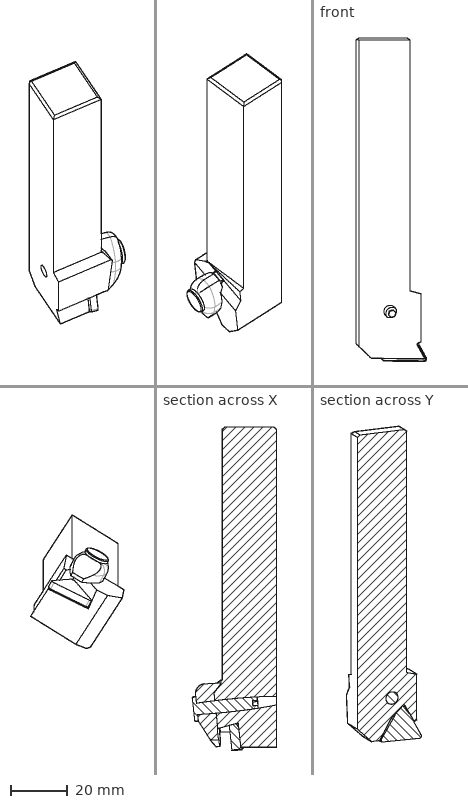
import cadquery as cq
import math

shank_size = 19.1
overall_length = 113.8
edge_chamfer = 1.0
end_chamfer_length = 0.8
head_width = 23.0
head_stock = 27.3
shoulder_z = 24.8
shoulder_slope = math.tan(math.radians(15))
foot_z = 1.0
foot_left_x = 5.5
bevel_top_z = 6.3
notch_outer_z = 6.9
notch_x = 21.5
notch_z = 6.1
tip_x = 24.4

fall_along_x = math.tan(math.radians(5.5))
rise_along_z = math.tan(math.radians(6))
tilted_normal = cq.Vector(fall_along_x, 1, -rise_along_z)

land_y = 21.3
seat_y = 13.9
ledge_depth = 2.8

clamp_turn = 16.0
ramp_top = -5.0
ramp_foot = -7.9
clamp_height = 6.5
clamp_tail = -8.4
clamp_nose = 13.9
tail_half_width = 1.6
clamp_half_width = 6.0
nose_half_width = 2.3
tail_bulge_half_width = 4.8
tail_bulge_y = -4.7
nose_bulge_half_width = 4.5
flank_start = -0.5
flank_end = 3.4
nose_height = 1.4
nose_slope_start = 3.9
tail_gap = 1.4
heel_half_width = 2.4
heel_inset = 0.3
clamp_rounding = 3.4

screw_x = 12.1
screw_z = 17.5
screw_diameter = 4.3
screw_recess = 6.8
screw_head_diameter = 8.9
screw_head_height = 1.3
screw_head_bevel = 0.3
socket_corner_diameter = 2.7
socket_depth = 1.7

shim_side = 17.1
shim_thickness = 3.2
shim_corner_radius = 0.9
shim_bevel = 0.6
shim_lead = -0.6
shim_x = 16.8
shim_z = 5.2

pocket_height = 17.1

cutter_size = 91.0


def surface_y(x, z, y_at_origin):
    """Y of a tilted surface at a given X and Z."""
    return y_at_origin - fall_along_x * x + rise_along_z * z


def tilted_frame(x, z, y_at_origin, turn=0.0):
    """Frame on a tilted surface: x across, y towards the foot, z out of the surface."""
    across = math.cos(math.radians(turn))
    along = math.sin(math.radians(turn))
    x_direction = cq.Vector(across, rise_along_z * along - fall_along_x * across, along)
    origin = (x, surface_y(x, z, y_at_origin), z)
    return cq.Location(cq.Plane(origin, x_direction, tilted_normal))


def shim_prism(height):
    """Sharp-cornered triangle whose lower edge faces the foot."""
    inradius = shim_side / (2 * math.sqrt(3))
    corners = [
        (-shim_side / 2, inradius),
        (shim_side / 2, inradius),
        (0, -2 * inradius),
    ]
    return cq.Workplane("XY").polyline(corners).close().extrude(height)


land_at_screw = surface_y(screw_x, screw_z, land_y)
axis_run = land_at_screw / (1 + fall_along_x**2 + rise_along_z**2)
clamp_x = screw_x + fall_along_x * axis_run
clamp_z = screw_z - rise_along_z * axis_run
axis_length = axis_run * tilted_normal.Length

clamp_frame = tilted_frame(clamp_x, clamp_z, land_y, clamp_turn)
shim_frame = tilted_frame(shim_x, shim_z, seat_y, shim_lead)


def make_shank(top_z):
    """Square bar with chamfered end edges."""
    bar = cq.Workplane("XY").box(shank_size, shank_size, top_z - foot_z, centered=False)
    bar = bar.translate((0, 0, foot_z))
    return bar.faces(">Z").edges().chamfer(end_chamfer_length, edge_chamfer)


def make_head():
    """Wider and thicker lower end, with sloping shoulders and the notch beside the tip."""
    side_drop = (head_width - shank_size) * shoulder_slope
    outline = [
        (foot_left_x, foot_z),
        (tip_x, foot_z),
        (notch_x, notch_z),
        (head_width, notch_outer_z),
        (head_width, shoulder_z - side_drop),
        (shank_size, shoulder_z),
        (0, shoulder_z),
        (0, bevel_top_z),
    ]
    head = cq.Workplane("XZ").polyline(outline).close().extrude(-head_stock)

    top_drop = (head_stock - shank_size) * shoulder_slope
    shoulder = [
        (0, 0),
        (head_stock, 0),
        (head_stock, shoulder_z - top_drop),
        (shank_size, shoulder_z),
        (0, shoulder_z),
    ]
    side_profile = cq.Workplane("YZ").polyline(shoulder).close().extrude(cutter_size)
    return head.intersect(side_profile).cut(make_surface_cutter())


def make_surface_cutter():
    """Everything above the land, the ramp and the ledge behind it."""
    profile = [
        (cutter_size, 0),
        (ramp_top, 0),
        (ramp_foot, -ledge_depth),
        (-cutter_size, -ledge_depth),
        (-cutter_size, cutter_size),
        (cutter_size, cutter_size),
    ]
    cutter = cq.Workplane("YZ").polyline(profile).close().extrude(cutter_size / 2, both=True)
    return cq.Workplane(cutter.val().moved(clamp_frame))


def make_foot_bevel_cutter():
    """Corner between the left side and the foot."""
    corner = [(0, 0), (foot_left_x, 0), (foot_left_x, foot_z), (0, bevel_top_z)]
    return cq.Workplane("XZ").polyline(corner).close().extrude(-shank_size)


def make_edge_cutter():
    """Long chamfer on the front left edge."""
    corner = [(0, 0), (edge_chamfer, 0), (0, edge_chamfer)]
    return cq.Workplane("XY").polyline(corner).close().extrude(overall_length)


def make_holder(top_z):
    """Shank and head in one piece, with the screw bore and the triangular shim pocket."""
    bore = cq.Workplane("XY").circle(screw_diameter / 2).extrude(cutter_size / 2, both=True)
    holder = make_shank(top_z).cut(make_foot_bevel_cutter()).union(make_head())
    holder = holder.cut(make_edge_cutter())
    holder = holder.cut(cq.Workplane(bore.val().moved(clamp_frame)))
    pocket = shim_prism(pocket_height).val().moved(shim_frame)
    return holder.cut(cq.Workplane(pocket))


def make_shim():
    """Triangular plate with rounded corners, bevelled around the face on the seat."""
    shim = shim_prism(shim_thickness).edges("|Z").fillet(shim_corner_radius)
    shim = shim.faces("<Z").edges().chamfer(shim_bevel)
    return shim.val().moved(shim_frame)


def make_clamp_plan():
    """Plan of the clamp: flat tail, rounded shoulders, straight flanks and a tapering nose."""
    tail_bulge = (tail_bulge_half_width, tail_bulge_y)
    nose_bulge = (nose_bulge_half_width, (flank_end + clamp_nose) / 2)
    plan = (
        cq.Workplane("XY")
        .workplane(offset=-ledge_depth)
        .moveTo(-tail_half_width, clamp_tail)
        .lineTo(tail_half_width, clamp_tail)
        .threePointArc(tail_bulge, (clamp_half_width, flank_start))
        .lineTo(clamp_half_width, flank_end)
        .threePointArc(nose_bulge, (nose_half_width, clamp_nose))
        .lineTo(-nose_half_width, clamp_nose)
        .threePointArc((-nose_bulge[0], nose_bulge[1]), (-clamp_half_width, flank_end))
        .lineTo(-clamp_half_width, flank_start)
        .threePointArc((-tail_bulge[0], tail_bulge[1]), (-tail_half_width, clamp_tail))
        .close()
    )
    return plan.extrude(ledge_depth + clamp_height)


def make_clamp():
    """Clamp that bears on the land, the ramp and, through its heel, on the ledge."""
    tail_underside = tail_gap - ledge_depth
    gap_start = ramp_top + (ramp_foot - ramp_top) * tail_underside / -ledge_depth
    profile = [
        (clamp_nose, 0),
        (ramp_top, 0),
        (gap_start, tail_underside),
        (clamp_tail, tail_underside),
        (clamp_tail, clamp_height),
        (nose_slope_start, clamp_height),
        (clamp_nose, nose_height),
    ]
    rounded_plan = make_clamp_plan().faces(">Z").edges().fillet(clamp_rounding)
    side = cq.Workplane("YZ").polyline(profile).close().extrude(clamp_half_width, both=True)
    heel_end = clamp_tail + heel_inset
    heel_profile = [
        (gap_start, tail_underside),
        (ramp_foot, -ledge_depth),
        (heel_end, -ledge_depth),
        (heel_end, tail_underside),
    ]
    heel = cq.Workplane("YZ").polyline(heel_profile).close().extrude(heel_half_width, both=True)
    clamp = rounded_plan.intersect(side.union(heel))
    clamp = clamp.cut(cq.Workplane("XY").circle(screw_diameter / 2).extrude(clamp_height))
    return clamp.val().moved(clamp_frame)


def make_screw():
    """Screw whose lower end stops inside the bore and carries a hexagon socket."""
    head = (
        cq.Workplane("XY")
        .workplane(offset=clamp_height)
        .circle(screw_head_diameter / 2)
        .extrude(screw_head_height)
        .faces(">Z")
        .edges()
        .chamfer(screw_head_bevel)
    )
    end = screw_recess - axis_length
    stem_end = cq.Workplane("XY").workplane(offset=end)
    stem = stem_end.circle(screw_diameter / 2).extrude(clamp_height - end)
    socket = stem_end.polygon(6, socket_corner_diameter).extrude(socket_depth)
    return stem.union(head).cut(socket).val().moved(clamp_frame)


shim = make_shim()

shank_top_z = shim.BoundingBox().zmin + overall_length
holder = make_holder(shank_top_z).val()
clamp = make_clamp()
screw = make_screw()

result = cq.Compound.makeCompound([holder, shim, clamp, screw])